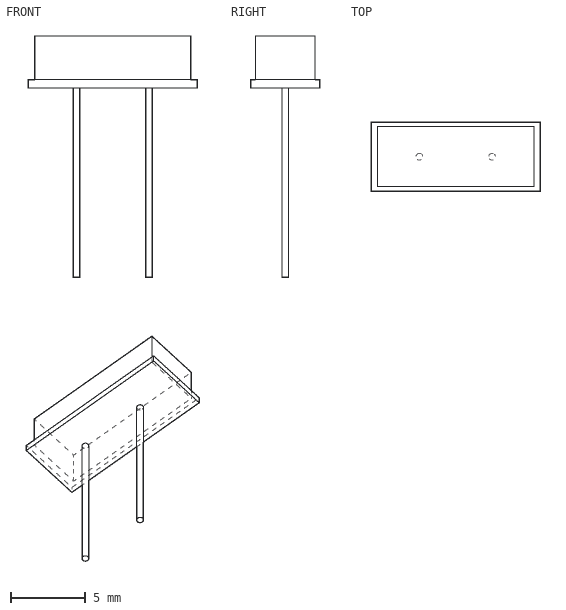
import cadquery as cq

total_height = 16.2

base_length = 11.35
base_width = 4.65
base_thickness = 0.57

cover_length = 10.5
cover_width = 4.02
cover_height = 2.93

lead_diameter = 0.45
lead_pitch = 4.88
lead_length = total_height - base_thickness - cover_height


def make_base():
    """Flat rectangular plate that carries the cover and the leads."""
    return cq.Workplane("XY").box(
        base_length, base_width, base_thickness, centered=(True, True, False)
    )


def make_cover():
    """Rectangular block standing on the middle of the base plate."""
    return (
        cq.Workplane("XY")
        .workplane(offset=base_thickness)
        .box(cover_length, cover_width, cover_height, centered=(True, True, False))
    )


def make_lead(x_position):
    """Straight round lead hanging from the underside of the base plate."""
    return (
        cq.Workplane("XY")
        .center(x_position, 0)
        .circle(lead_diameter / 2)
        .extrude(-lead_length)
    )


base = make_base()
cover = make_cover()
leads = [make_lead(side * lead_pitch / 2) for side in (-1, 1)]

result = cq.Compound.makeCompound(
    [base.val(), cover.val(), *[lead.val() for lead in leads]]
)